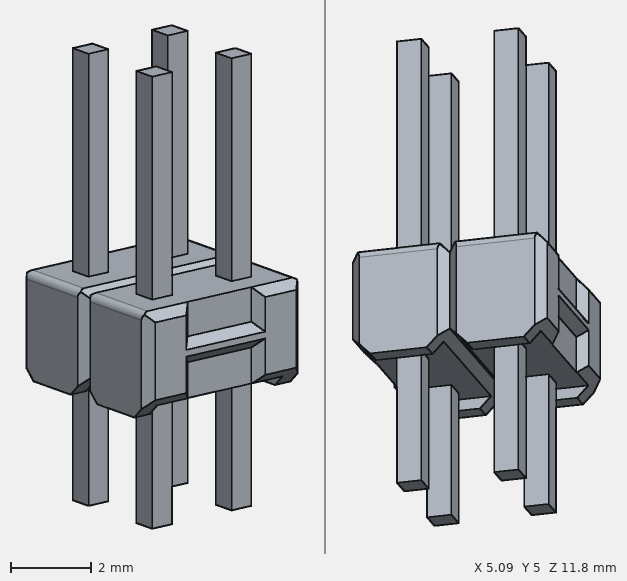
import cadquery as cq

row_count = 2
total_width = 5.09
body_depth = 5.0
pin_length = 11.8

block_width = total_width / row_count
body_bottom = 3.17
body_height = 2.81
body_top = body_bottom + body_height
edge_chamfer = 0.25
bottom_chamfer = 0.53
top_fillet = 0.2

foot_depth = 0.5
foot_height = 0.3

channel_mouth = 2.54
ridge_face = 0.18
ridge_center = body_bottom + 1.57

pin_size = 0.64
pin_pitch = block_width


def make_block(center_x):
    """Block with chamfered long edges and corners and rounded top end edges."""
    block = (
        cq.Workplane("XY")
        .box(block_width, body_depth, body_height, centered=(True, True, False))
        .edges("|Z").chamfer(edge_chamfer)
    )
    half = block_width / 2
    profile = (
        cq.Workplane("XZ")
        .moveTo(-half + bottom_chamfer, 0)
        .lineTo(half - bottom_chamfer, 0)
        .lineTo(half, bottom_chamfer)
        .lineTo(half, body_height - edge_chamfer)
        .lineTo(half - edge_chamfer, body_height)
        .lineTo(-half + edge_chamfer, body_height)
        .lineTo(-half, body_height - edge_chamfer)
        .lineTo(-half, bottom_chamfer)
        .close()
        .extrude(body_depth / 2, both=True)
    )
    rounded = (
        cq.Workplane("XY")
        .box(block_width, body_depth, body_height, centered=(True, True, False))
        .edges("|X and >Z").fillet(top_fillet)
    )
    block = block.intersect(profile).intersect(rounded)
    return block.translate((center_x, 0, body_bottom))


def make_side_channel():
    """Cutter for the -X side: sloped-wall channel with the sloped ridge left out."""
    outer_x = -total_width / 2
    floor_x = outer_x + edge_chamfer
    mouth_half = channel_mouth / 2
    floor_half = mouth_half - edge_chamfer
    channel = (
        cq.Workplane("XY", origin=(0, 0, body_bottom))
        .moveTo(outer_x, -mouth_half)
        .lineTo(floor_x, -floor_half)
        .lineTo(floor_x, floor_half)
        .lineTo(outer_x, mouth_half)
        .close()
        .extrude(body_height)
    )
    face_half = ridge_face / 2
    root_half = face_half + edge_chamfer
    ridge = (
        cq.Workplane("XZ")
        .moveTo(outer_x, ridge_center - face_half)
        .lineTo(floor_x, ridge_center - root_half)
        .lineTo(floor_x, ridge_center + root_half)
        .lineTo(outer_x, ridge_center + face_half)
        .close()
        .extrude(mouth_half, both=True)
    )
    return channel.cut(ridge)


body = make_block(-block_width / 2).union(make_block(block_width / 2))

side_channel = make_side_channel()
body = body.cut(side_channel).cut(side_channel.mirror("YZ"))

clearance = (
    cq.Workplane("XY", origin=(0, 0, body_bottom))
    .box(total_width, body_depth - 2 * foot_depth, foot_height, centered=(True, True, False))
)
body = body.cut(clearance)

pins = (
    cq.Workplane("XY")
    .rarray(pin_pitch, pin_pitch, row_count, 2)
    .rect(pin_size, pin_size)
    .extrude(pin_length)
)
result = body.union(pins)